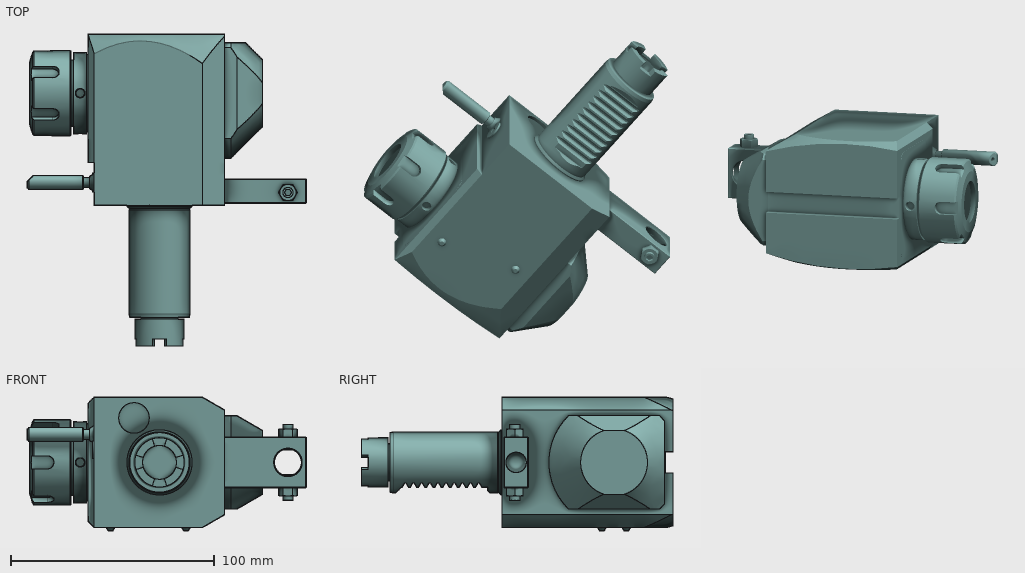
import cadquery as cq
import math


HALF_HEIGHT = 32.0
HOUSING_LEFT = -32.0
HOUSING_RIGHT = 32.0
HOUSING_DEPTH = 84.0
PAD_THICKNESS = 3.0
PAD_LEFT = HOUSING_LEFT - PAD_THICKNESS
PAD_START = 21.0
RIGHT_CHAMFER_LENGTH = 11.0
RIGHT_CHAMFER_ANGLE = 30.0
CROWN_RADIUS = 152.0
CROWN_TOP = 31.1
CROWN_X = -9.3
CROWN_DRAFT = 15.0
KEYWAY_WIDTH = 10.4
KEYWAY_DEPTH = 3.9
FRONT_PLUG_DIAMETER = 15.0
FRONT_PLUG_X = -12.5
FRONT_PLUG_Z = 21.8
FRONT_PLUG_DEPTH = 1.5

SPINDLE_Y = 55.0
COVER_WIDTH = 45.0
COVER_HEIGHT = 53.0
COVER_RADIUS = 5.0
COVER_THICKNESS = 0.1
NOSE_FACE = -63.8
NUT_RADIUS = 21.0
NUT_RIM_RADIUS = 20.0
NUT_RIM_X = -62.3
NUT_SHOULDER_X = -61.6
NUT_BACK_X = -43.3
NUT_EDGE_CHAMFER = 0.6
NUT_FACE_RADIUS = 15.0
COLLET_RADIUS = 10.3
COLLET_DEPTH = 2.5
NOSE_NECK_RADIUS = 16.3
RING_RADIUS = 20.0
RING_FRONT_X = -42.1
RING_BACK_X = -35.7
RING_RELIEF_RADIUS = 19.0
NUT_SLOT_COUNT = 6
NUT_SLOT_WIDTH = 6.4
SHORT_SLOT_END_X = -51.8
LONG_SLOT_END_X = -49.2
LONG_SLOTS = (4, 5)
NUT_SLOT_FLOOR_RADIUS = 18.0
RING_HOLE_COUNT = 4
RING_HOLE_DIAMETER = 4.2
RING_HOLE_CHAMFER = 0.3
RING_HOLE_DEPTH = 3.0

CAP_RADIUS = 32.0
CAP_RIM_X = 35.0
CAP_END_X = 50.6
CAP_HALF_HEIGHT = 22.9
CAP_BACK_Y = 79.8
CAP_BEVEL_X = 38.0
CAP_BEVEL_ANGLE = 30.0

SHANK_RADIUS = 15.0
COLLAR_RADIUS = 16.0
COLLAR_RIM_Y = -0.5
COLLAR_END_Y = -1.6
UNDERCUT_RADIUS = 14.8
UNDERCUT_END_Y = -2.3
SHANK_CHAMFER_Y = -53.2
SHANK_END_Y = -55.0
SHANK_END_RADIUS = 14.6
RACK_START_Y = -7.0
RACK_LIP = 1.2
RACK_TIP_Z = -12.2
RACK_ROOT_Z = -10.2
RACK_FIRST_Y = -11.4
RACK_PITCH = 4.0
RACK_GROOVES = 10
RACK_ROOT_WIDTH = 0.8
RACK_FLANK_ANGLE = 30.0
RACK_RUNOUT_Y = -47.4

COUPLING_NECK_RADIUS = 9.2
COUPLING_RADIUS = 12.1
COUPLING_START_Y = -55.8
COUPLING_END_Y = -69.0
COUPLING_BORE_RADIUS = 8.3
COUPLING_BORE_DEPTH = 4.0
COUPLING_SLOTS = 4
COUPLING_SLOT_ANGLE = 34.0
COUPLING_SLOT_DEPTH = 3.4

NOZZLE_Y = 11.2
NOZZLE_Z = 13.7
NOZZLE_TIP_X = -64.88
NOZZLE_RADIUS = 3.5
NOZZLE_CHAMFER = 0.9
NOZZLE_BACK_X = -37.7
NOZZLE_NECK_RADIUS = 2.5
NOZZLE_NECK_X = -37.2
NOZZLE_BASE_X = -34.3
NOZZLE_SEAT_SMALL_RADIUS = 3.0
NOZZLE_SEAT_RADIUS = 4.4
NOZZLE_BEVEL_OFFSET = 0.5
NOZZLE_ORIFICE_OFFSET = 1.9
NOZZLE_ORIFICE_DIAMETER = 2.0
NOZZLE_ORIFICE_DEPTH = 2.5
PLUG_Z = 6.5
PLUG_RADIUS = 4.7
PLUG_HEIGHT = 0.9
PLUG_HEX_FLATS = 3.0
PLUG_HEX_DEPTH = 2.0

ARM_END_X = 72.0
ARM_FRONT_Y = 0.9
ARM_BACK_Y = 13.0
ARM_HALF_HEIGHT = 12.5
ARM_CHAMFER = 0.4
ARM_BORE_X = 63.0
ARM_BORE_DIAMETER = 13.2
ARM_BORE_CHAMFER = 0.4
ARM_END_HOLE_DIAMETER = 10.0
SCREW_Y = 6.3
SCREW_DIAMETER = 5.0
SCREW_TOP_Z = 18.6
SCREW_INNER_Z = 6.0
SCREW_SOCKET_FLATS = 3.0
SCREW_SOCKET_DEPTH = 2.0
NUT_FLATS = 8.0
NUT_TOP_Z = 16.5
NUT_BEVEL_ANGLE = 30.0

NIPPLE_CENTRES = ((-24.0, 61.0), (13.0, 49.0))
NIPPLE_BASE_RADIUS = 2.1
NIPPLE_TIP_RADIUS = 1.1
NIPPLE_HEIGHT = 1.6

EMBED = 1.0
MARGIN = 5.0


def box(x0, x1, y0, y1, z0, z1):
    """Box between opposite corner coordinates."""
    return cq.Workplane("XY").box(x1 - x0, y1 - y0, z1 - z0, centered=False).translate((x0, y0, z0))


def disc_x(x0, x1, y, z, radius):
    """Cylinder along X."""
    return cq.Workplane("YZ", origin=(x0, y, z)).circle(radius).extrude(x1 - x0)


def turned_x(profile, y, z):
    """Body of revolution about an axis along X from (x, radius) points."""
    outline = cq.Workplane("XY").polyline(profile).close()
    return outline.revolve(360, (0, 0, 0), (1, 0, 0)).translate((0, y, z))


def hexagon_diameter(flats):
    """Diameter across the corners of a hexagon."""
    return flats / math.cos(math.pi / 6)


def crown():
    """Conical envelope of the crowned upper back edge, widening to the front."""
    growth = HOUSING_DEPTH * math.tan(math.radians(CROWN_DRAFT))
    cone = cq.Solid.makeCone(
        CROWN_RADIUS + growth,
        CROWN_RADIUS,
        HOUSING_DEPTH,
        cq.Vector(CROWN_X, 0, CROWN_TOP - CROWN_RADIUS),
        cq.Vector(0, 1, 0),
    )
    return cq.Workplane(obj=cone)


def housing():
    chamfer_drop = RIGHT_CHAMFER_LENGTH * math.tan(math.radians(RIGHT_CHAMFER_ANGLE))
    chamfer_x = HOUSING_RIGHT - RIGHT_CHAMFER_LENGTH
    chamfer_z = HALF_HEIGHT - chamfer_drop
    section = [
        (HOUSING_LEFT, -HALF_HEIGHT),
        (chamfer_x, -HALF_HEIGHT),
        (HOUSING_RIGHT, -chamfer_z),
        (HOUSING_RIGHT, chamfer_z),
        (chamfer_x, HALF_HEIGHT),
        (HOUSING_LEFT, HALF_HEIGHT),
    ]
    body = cq.Workplane("XZ").polyline(section).close().extrude(-HOUSING_DEPTH)

    pad_half = HALF_HEIGHT - PAD_THICKNESS
    pad_section = [
        (HOUSING_LEFT, -HALF_HEIGHT),
        (HOUSING_LEFT, HALF_HEIGHT),
        (PAD_LEFT, pad_half),
        (PAD_LEFT, -pad_half),
    ]
    pad = cq.Workplane("XZ", origin=(0, PAD_START, 0)).polyline(pad_section).close()
    body = body.union(pad.extrude(PAD_START - HOUSING_DEPTH))

    upper = crown()
    lower = upper.mirror("XY")
    body = body.intersect(upper).intersect(lower)

    keyway_floor_y = HOUSING_DEPTH - KEYWAY_DEPTH
    keyway_half = KEYWAY_WIDTH / 2
    body = body.cut(
        box(
            PAD_LEFT - MARGIN,
            HOUSING_RIGHT + MARGIN,
            keyway_floor_y,
            HOUSING_DEPTH + MARGIN,
            -keyway_half,
            keyway_half,
        )
    )

    plug_hole = cq.Workplane("XZ", origin=(FRONT_PLUG_X, 0, FRONT_PLUG_Z))
    return body.cut(plug_hole.circle(FRONT_PLUG_DIAMETER / 2).extrude(-FRONT_PLUG_DEPTH))


def cover():
    """Slightly raised cover around the spindle."""
    plate = cq.Workplane("XY").box(COVER_THICKNESS + EMBED, COVER_WIDTH, COVER_HEIGHT)
    plate = plate.edges("|X").fillet(COVER_RADIUS)
    return plate.translate((PAD_LEFT + (EMBED - COVER_THICKNESS) / 2, SPINDLE_Y, 0))


def nut_slot(end_x):
    """Round-ended spanner slot on the -Y side of the axis."""
    half = NUT_SLOT_WIDTH / 2
    straight_x = end_x - half
    start_x = NOSE_FACE - MARGIN
    outline = (
        cq.Workplane("XZ", origin=(0, -NUT_SLOT_FLOOR_RADIUS, 0))
        .moveTo(start_x, -half)
        .lineTo(straight_x, -half)
        .threePointArc((end_x, 0), (straight_x, half))
        .lineTo(start_x, half)
        .close()
    )
    return outline.extrude(MARGIN)


def spindle_nose():
    profile = [
        (NOSE_FACE, 0),
        (NOSE_FACE, NUT_FACE_RADIUS),
        (NUT_RIM_X, NUT_RIM_RADIUS),
        (NUT_SHOULDER_X, NUT_RADIUS),
        (NUT_BACK_X - NUT_EDGE_CHAMFER, NUT_RADIUS),
        (NUT_BACK_X, NUT_RADIUS - NUT_EDGE_CHAMFER),
        (NUT_BACK_X, NOSE_NECK_RADIUS),
        (RING_FRONT_X, NOSE_NECK_RADIUS),
        (RING_FRONT_X, RING_RADIUS),
        (RING_BACK_X, RING_RADIUS),
        (RING_BACK_X, RING_RELIEF_RADIUS),
        (PAD_LEFT + EMBED, RING_RELIEF_RADIUS),
        (PAD_LEFT + EMBED, 0),
    ]
    nose = turned_x(profile, 0, 0)
    nose = nose.cut(disc_x(NOSE_FACE, NOSE_FACE + COLLET_DEPTH, 0, 0, COLLET_RADIUS))

    for i in range(NUT_SLOT_COUNT):
        slot = nut_slot(LONG_SLOT_END_X if i in LONG_SLOTS else SHORT_SLOT_END_X)
        nose = nose.cut(slot.rotate((0, 0, 0), (1, 0, 0), i * 360 / NUT_SLOT_COUNT))

    ring_mid_x = (RING_FRONT_X + RING_BACK_X) / 2
    hole = (
        cq.Workplane("XY", origin=(ring_mid_x, 0, RING_RADIUS - RING_HOLE_DEPTH))
        .circle(RING_HOLE_DIAMETER / 2)
        .extrude(RING_HOLE_DEPTH + MARGIN)
    )
    hole_radius = RING_HOLE_DIAMETER / 2
    sink_depth = 2 * RING_HOLE_CHAMFER
    countersink = cq.Solid.makeCone(
        hole_radius,
        hole_radius + sink_depth,
        sink_depth,
        cq.Vector(ring_mid_x, 0, RING_RADIUS - RING_HOLE_CHAMFER),
    )
    hole = hole.union(cq.Workplane(obj=countersink))
    for i in range(RING_HOLE_COUNT):
        nose = nose.cut(hole.rotate((0, 0, 0), (1, 0, 0), i * 360 / RING_HOLE_COUNT))
    return nose.translate((0, SPINDLE_Y, 0))


def rear_cap():
    base_x = HOUSING_RIGHT - EMBED
    profile = [
        (base_x, 0),
        (base_x, CAP_RADIUS),
        (CAP_RIM_X, CAP_RADIUS),
        (CAP_END_X, CAP_RADIUS - (CAP_END_X - CAP_RIM_X)),
        (CAP_END_X, 0),
    ]
    bevel_z = CAP_HALF_HEIGHT - (CAP_END_X - CAP_BEVEL_X) * math.tan(math.radians(CAP_BEVEL_ANGLE))
    envelope = [
        (base_x, -CAP_HALF_HEIGHT),
        (CAP_BEVEL_X, -CAP_HALF_HEIGHT),
        (CAP_END_X, -bevel_z),
        (CAP_END_X, bevel_z),
        (CAP_BEVEL_X, CAP_HALF_HEIGHT),
        (base_x, CAP_HALF_HEIGHT),
    ]
    front_y = SPINDLE_Y - CAP_RADIUS
    limits = cq.Workplane("XZ", origin=(0, front_y, 0)).polyline(envelope).close()
    return turned_x(profile, SPINDLE_Y, 0).intersect(limits.extrude(front_y - CAP_BACK_Y))


def rack_cutter():
    """Relief along the underside of the shank with the toothed rack form."""
    width = 2 * SHANK_RADIUS
    bottom_z = -SHANK_RADIUS - MARGIN
    runout_end_y = RACK_RUNOUT_Y - (RACK_ROOT_Z - bottom_z)
    lip_y = RACK_START_Y + RACK_LIP
    relief = [
        (lip_y, bottom_z),
        (lip_y, -SHANK_RADIUS),
        (RACK_START_Y, RACK_LIP - SHANK_RADIUS),
        (RACK_START_Y, RACK_TIP_Z),
        (RACK_RUNOUT_Y - (RACK_ROOT_Z - RACK_TIP_Z), RACK_TIP_Z),
        (runout_end_y, bottom_z),
    ]
    plane = cq.Workplane("YZ", origin=(-width / 2, 0, 0))
    cutter = plane.polyline(relief).close().extrude(width)

    root_half = RACK_ROOT_WIDTH / 2
    tip_half = root_half + (RACK_ROOT_Z - RACK_TIP_Z) * math.tan(math.radians(RACK_FLANK_ANGLE))
    groove = [
        (-root_half, RACK_ROOT_Z),
        (root_half, RACK_ROOT_Z),
        (tip_half, RACK_TIP_Z),
        (-tip_half, RACK_TIP_Z),
    ]
    groove_body = plane.polyline(groove).close().extrude(width)
    for i in range(RACK_GROOVES):
        cutter = cutter.union(groove_body.translate((0, RACK_FIRST_Y - i * RACK_PITCH, 0)))
    return cutter


def shank():
    """Shank with rack, and the drive coupling on its end."""
    profile = [
        (0, EMBED),
        (COLLAR_RADIUS, EMBED),
        (COLLAR_RADIUS, COLLAR_RIM_Y),
        (UNDERCUT_RADIUS, COLLAR_END_Y),
        (UNDERCUT_RADIUS, UNDERCUT_END_Y),
        (SHANK_RADIUS, UNDERCUT_END_Y),
        (SHANK_RADIUS, SHANK_CHAMFER_Y),
        (SHANK_END_RADIUS, SHANK_END_Y),
        (COUPLING_NECK_RADIUS, SHANK_END_Y),
        (COUPLING_NECK_RADIUS, COUPLING_START_Y),
        (COUPLING_RADIUS, COUPLING_START_Y),
        (COUPLING_RADIUS, COUPLING_END_Y),
        (0, COUPLING_END_Y),
    ]
    body = cq.Workplane("XY").polyline(profile).close().revolve(360, (0, 0, 0), (0, 1, 0))
    body = body.cut(rack_cutter())

    end_plane = cq.Workplane("XZ", origin=(0, COUPLING_END_Y, 0))
    body = body.cut(end_plane.circle(COUPLING_BORE_RADIUS).extrude(-COUPLING_BORE_DEPTH))
    reach = COUPLING_RADIUS + MARGIN
    half_width = reach * math.tan(math.radians(COUPLING_SLOT_ANGLE / 2))
    sector = [(0, 0), (reach, -half_width), (reach, half_width)]
    slot = end_plane.polyline(sector).close().extrude(-COUPLING_SLOT_DEPTH)
    for i in range(COUPLING_SLOTS):
        body = body.cut(slot.rotate((0, 0, 0), (0, 1, 0), i * 360 / COUPLING_SLOTS))
    return body


def coolant_nozzle():
    base_x = HOUSING_LEFT + EMBED
    profile = [
        (NOZZLE_TIP_X, 0),
        (NOZZLE_TIP_X, NOZZLE_RADIUS - NOZZLE_CHAMFER),
        (NOZZLE_TIP_X + NOZZLE_CHAMFER, NOZZLE_RADIUS),
        (NOZZLE_BACK_X, NOZZLE_RADIUS),
        (NOZZLE_NECK_X, NOZZLE_NECK_RADIUS),
        (NOZZLE_BASE_X, NOZZLE_NECK_RADIUS),
        (NOZZLE_BASE_X, NOZZLE_SEAT_SMALL_RADIUS),
        (HOUSING_LEFT, NOZZLE_SEAT_RADIUS),
        (base_x, NOZZLE_SEAT_RADIUS),
        (base_x, 0),
    ]
    nozzle = turned_x(profile, 0, 0)

    bevel_length = NOZZLE_RADIUS + MARGIN
    bevel = [
        (NOZZLE_TIP_X, NOZZLE_BEVEL_OFFSET),
        (NOZZLE_TIP_X + bevel_length, NOZZLE_BEVEL_OFFSET + bevel_length),
        (NOZZLE_TIP_X, NOZZLE_BEVEL_OFFSET + bevel_length),
    ]
    cutter = cq.Workplane("XY", origin=(0, 0, -NOZZLE_RADIUS)).polyline(bevel).close()
    nozzle = nozzle.cut(cutter.extrude(2 * NOZZLE_RADIUS))

    orifice_x = NOZZLE_TIP_X + NOZZLE_ORIFICE_OFFSET - NOZZLE_BEVEL_OFFSET
    orifice = cq.Solid.makeCylinder(
        NOZZLE_ORIFICE_DIAMETER / 2,
        NOZZLE_ORIFICE_DEPTH,
        cq.Vector(orifice_x, NOZZLE_ORIFICE_OFFSET, 0),
        cq.Vector(1, -1, 0),
    )
    return nozzle.cut(cq.Workplane(obj=orifice)).translate((0, NOZZLE_Y, NOZZLE_Z))


def plug_body():
    """Round plug under the coolant nozzle."""
    face_x = HOUSING_LEFT - PLUG_HEIGHT
    return disc_x(face_x, HOUSING_LEFT + PLUG_HEX_DEPTH, NOZZLE_Y, PLUG_Z, PLUG_RADIUS)


def plug_socket():
    """Hexagon socket of the plug, with flats facing along Y."""
    face_x = HOUSING_LEFT - PLUG_HEIGHT
    socket = cq.Workplane("YZ").polygon(6, hexagon_diameter(PLUG_HEX_FLATS)).extrude(PLUG_HEX_DEPTH)
    return socket.rotate((0, 0, 0), (1, 0, 0), 90).translate((face_x, NOZZLE_Y, PLUG_Z))


def clamp_screw():
    """Set screw with lock nut on the upper side of the arm."""
    plane = cq.Workplane("XY", origin=(ARM_BORE_X, SCREW_Y, SCREW_INNER_Z))
    screw = plane.circle(SCREW_DIAMETER / 2).extrude(SCREW_TOP_Z - SCREW_INNER_Z)
    socket = (
        cq.Workplane("XY", origin=(ARM_BORE_X, SCREW_Y, SCREW_TOP_Z))
        .polygon(6, hexagon_diameter(SCREW_SOCKET_FLATS))
        .extrude(-SCREW_SOCKET_DEPTH)
    )
    nut_base_z = ARM_HALF_HEIGHT - EMBED
    nut = (
        cq.Workplane("XY", origin=(ARM_BORE_X, SCREW_Y, nut_base_z))
        .polygon(6, hexagon_diameter(NUT_FLATS))
        .extrude(NUT_TOP_Z - nut_base_z)
    )
    bevel_height = NUT_TOP_Z - nut_base_z
    bevel_base = NUT_FLATS / 2 + bevel_height / math.tan(math.radians(NUT_BEVEL_ANGLE))
    bevel = cq.Solid.makeCone(
        bevel_base,
        NUT_FLATS / 2,
        bevel_height,
        cq.Vector(ARM_BORE_X, SCREW_Y, nut_base_z),
    )
    nut = nut.intersect(cq.Workplane(obj=bevel))
    return screw.union(nut).cut(socket)


def arm():
    mid_y = (ARM_FRONT_Y + ARM_BACK_Y) / 2
    bar = box(HOUSING_RIGHT, ARM_END_X, ARM_FRONT_Y, ARM_BACK_Y, -ARM_HALF_HEIGHT, ARM_HALF_HEIGHT)
    bar = bar.faces(">X").edges().chamfer(ARM_CHAMFER)
    bar = bar.edges("|X").chamfer(ARM_CHAMFER)
    bore = cq.Workplane("XZ", origin=(ARM_BORE_X, ARM_BACK_Y + MARGIN, 0))
    bar = bar.cut(bore.circle(ARM_BORE_DIAMETER / 2).extrude(ARM_BACK_Y + 2 * MARGIN))
    bar = bar.edges("%CIRCLE").chamfer(ARM_BORE_CHAMFER)
    bar = bar.union(
        box(
            HOUSING_RIGHT - EMBED,
            HOUSING_RIGHT,
            ARM_FRONT_Y + ARM_CHAMFER,
            ARM_BACK_Y - ARM_CHAMFER,
            ARM_CHAMFER - ARM_HALF_HEIGHT,
            ARM_HALF_HEIGHT - ARM_CHAMFER,
        )
    )
    bar = bar.cut(disc_x(ARM_BORE_X, ARM_END_X + MARGIN, mid_y, 0, ARM_END_HOLE_DIAMETER / 2))

    screw = clamp_screw()
    return bar.union(screw).union(screw.mirror("XY"))


def nipple(x, y):
    """Conical nipple under the housing."""
    slope = (NIPPLE_BASE_RADIUS - NIPPLE_TIP_RADIUS) / NIPPLE_HEIGHT
    cone = cq.Solid.makeCone(
        NIPPLE_BASE_RADIUS + slope * EMBED,
        NIPPLE_TIP_RADIUS,
        NIPPLE_HEIGHT + EMBED,
        cq.Vector(x, y, EMBED - HALF_HEIGHT),
        cq.Vector(0, 0, -1),
    )
    return cq.Workplane(obj=cone)


result = housing().union(cover()).union(spindle_nose()).union(rear_cap()).union(shank())
result = result.union(plug_body()).cut(plug_socket()).union(coolant_nozzle()).union(arm())
for nipple_x, nipple_y in NIPPLE_CENTRES:
    result = result.union(nipple(nipple_x, nipple_y))